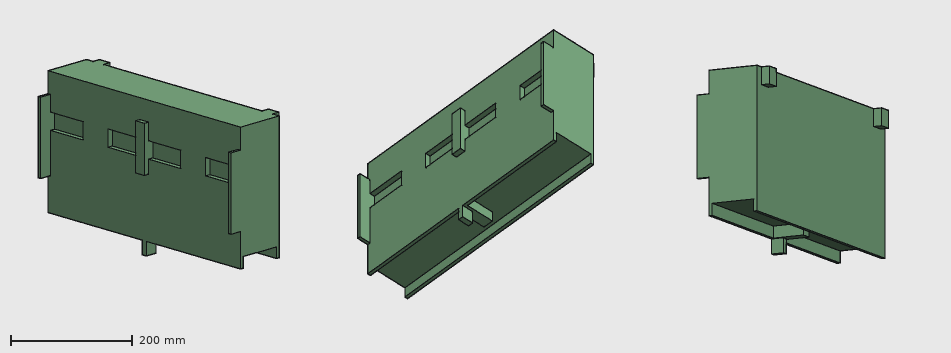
import cadquery as cq

width = 450.0
depth = 90.0
overall_height = 270.0
height = 245.0
rim_height = 20.2
rim_thickness = 6.5

ear_width = 24.8
ear_depth = 15.0
ear_height = 30.0
ear_inset = 15.5

plate_thickness = 6.0
plate_depth = 22.5
plate_height = 140.5
plate_top_gap = 39.5

handle_width = 20.2
handle_depth = 10.0
handle_height = 90.0
handle_top_gap = 38.0
recess_depth = 10.0
recess_height = 31.5
recess_top_gap = 70.0
centre_recess_width = 169.0
side_recess_end = 81.5

peg_width = 10.0
peg_depth = 22.5
peg_height = overall_height - height
rib_width = 20.2
rib_depth = 62.0


def block(x_start, y_start, z_start, x_size, y_size, z_size):
    """Box placed by its lowest corner."""
    return cq.Workplane("XY").box(x_size, y_size, z_size, centered=False).translate((x_start, y_start, z_start))


def centred_block(y_start, z_start, x_size, y_size, z_size):
    """Box centred across the width of the housing."""
    return block(-x_size / 2, y_start, z_start, x_size, y_size, z_size)


def both_sides(left_block):
    """The left-hand block together with its mirror image."""
    return left_block.union(left_block.mirror("YZ"))


left = -width / 2

body = centred_block(0, 0, width, depth, height)
channel = centred_block(rim_thickness, 0, width, depth - 2 * rim_thickness, rim_height)
body = body.cut(channel)

recess_bottom = height - recess_top_gap - recess_height
centre_recess = centred_block(0, recess_bottom, centre_recess_width, recess_depth, recess_height)
side_recess_width = side_recess_end - plate_thickness
side_recess = block(left + plate_thickness, 0, recess_bottom, side_recess_width, recess_depth, recess_height)
body = body.cut(centre_recess).cut(both_sides(side_recess))

ear = block(left + ear_inset, depth, height - ear_height, ear_width, ear_depth, ear_height)
plate_bottom = height - plate_top_gap - plate_height
plate = block(left, -plate_depth, plate_bottom, plate_thickness, plate_depth, plate_height)
body = body.union(both_sides(ear)).union(both_sides(plate))

handle_bottom = height - handle_top_gap - handle_height
handle = centred_block(-handle_depth, handle_bottom, handle_width, handle_depth + recess_depth, handle_height)

rib = centred_block(0, 0, rib_width, rib_depth, rim_height)
peg = centred_block(0, -peg_height, peg_width, peg_depth, peg_height)

result = body.union(handle).union(rib).union(peg)